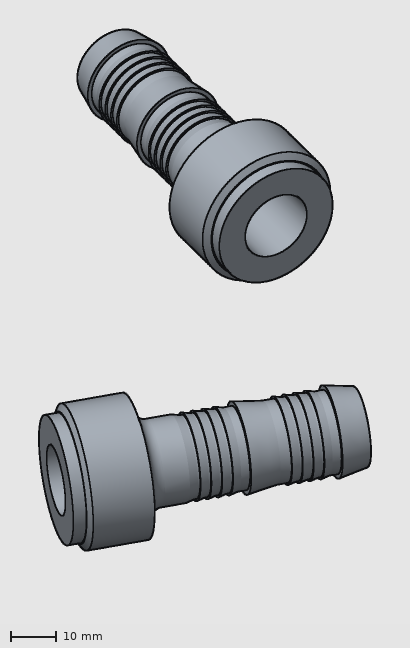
import cadquery as cq
import math

total_length = 70.0
bore_radius = 16.0 / 2
root_radius = 9.5
neck_radius = 20.0 / 2
head_radius = 33.25 / 2
collar_radius = 29.5 / 2

barb_radius = 10.6
barb_length = 7.0
barb_pitch = 21.0
nose_radius = 9.2
nose_fillet = 0.5

tooth_offset = 2.0
tooth_gap = 0.5
tooth_length = 4 * tooth_gap
tooth_pitch = tooth_length + tooth_gap
teeth_per_barb = 4

head_start = 51.8
head_end = 65.95
back_slope = math.radians(15)
neck_fillet = 3.0
head_chamfer_length = 1.05
head_chamfer_radius = 15.0


def add_saw_tooth(outline, start, length, base_radius, crest_radius):
    """Conical rise towards +X, ending in a square step down to the root."""
    return (
        outline.lineTo(start, base_radius)
        .lineTo(start + length, crest_radius)
        .lineTo(start + length, root_radius)
    )


def add_teeth(outline, barb_end):
    """Row of fine teeth following a barb."""
    for index in range(teeth_per_barb):
        start = barb_end + tooth_offset + index * tooth_pitch
        outline = add_saw_tooth(outline, start, tooth_length, root_radius, neck_radius)
    return outline


def add_head(outline):
    """Neck fillet, conical back face, rim, front chamfer and collar."""
    turn = math.pi / 2 - back_slope
    fillet_end_radius = neck_radius + neck_fillet * (1 - math.cos(turn))
    fillet_end = head_start - (head_radius - fillet_end_radius) * math.tan(back_slope)
    fillet_start = fillet_end - neck_fillet * math.sin(turn)
    middle_x = fillet_start + neck_fillet * math.sin(turn / 2)
    middle_radius = neck_radius + neck_fillet * (1 - math.cos(turn / 2))
    chamfer_end = head_end + head_chamfer_length
    return (
        outline.lineTo(fillet_start, neck_radius)
        .threePointArc((middle_x, middle_radius), (fillet_end, fillet_end_radius))
        .lineTo(head_start, head_radius)
        .lineTo(head_end, head_radius)
        .lineTo(chamfer_end, head_chamfer_radius)
        .lineTo(chamfer_end, collar_radius)
        .lineTo(total_length, collar_radius)
    )


def start_nose():
    """End face and rounded nose, tangent to the face and to the first barb's cone."""
    slope = math.atan2(barb_radius - nose_radius, barb_length)
    center_radius = nose_radius + nose_fillet * math.tan(slope) - nose_fillet / math.cos(slope)
    tangent_angle = math.pi / 2 + slope
    middle_angle = (math.pi + tangent_angle) / 2
    middle_x = nose_fillet + nose_fillet * math.cos(middle_angle)
    tangent_x = nose_fillet + nose_fillet * math.cos(tangent_angle)
    tangent_radius = center_radius + nose_fillet * math.sin(tangent_angle)
    middle_radius = center_radius + nose_fillet * math.sin(middle_angle)
    return (
        cq.Workplane("XY")
        .moveTo(0, bore_radius)
        .lineTo(0, center_radius)
        .threePointArc((middle_x, middle_radius), (tangent_x, tangent_radius))
    )


section = start_nose()
section = section.lineTo(barb_length, barb_radius).lineTo(barb_length, root_radius)
section = add_teeth(section, barb_length)
section = add_saw_tooth(section, barb_pitch, barb_length, root_radius, barb_radius)
section = add_teeth(section, barb_pitch + barb_length)

last_tooth_start = barb_pitch + barb_length + tooth_offset + teeth_per_barb * tooth_pitch
section = section.lineTo(last_tooth_start, root_radius)
section = section.lineTo(last_tooth_start + tooth_length, neck_radius)
section = add_head(section)
section = section.lineTo(total_length, bore_radius).close()

result = section.revolve(360, (0, 0, 0), (1, 0, 0))